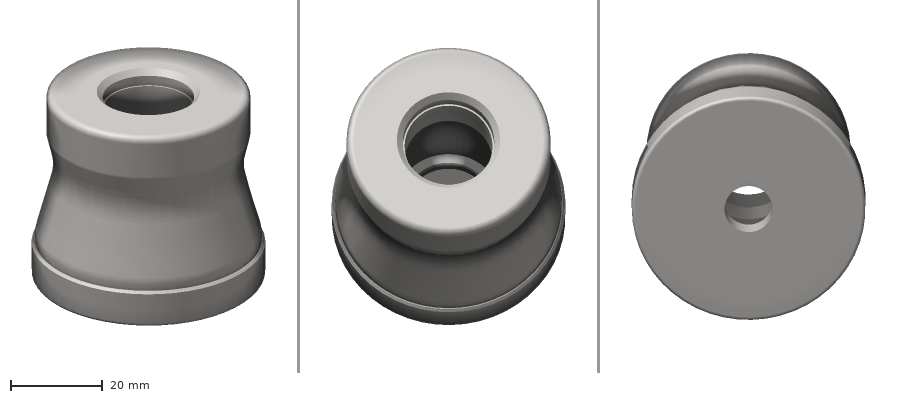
import cadquery as cq
import math

base_radius = 25.4
base_height = 8.45
base_bottom_fillet = 0.75
base_top_chamfer = 0.5
hole_radius = 5.25
recess_radius = 9.2
recess_depth = 2.55
edge_chamfer = 0.35

total_height = 44.45
foot_radius = 24.65
foot_top = 9.9
shoulder_top = 11.25
neck_radius = 20.75
neck_bottom = 23.1
neck_top = 30.7
flank_degrees = 16
head_radius = 22.2
head_bottom = 34.55
head_bottom_fillet = 1.8
head_top_fillet = 1.5

mouth_chamfer = 1.25
mouth_radius = 9.95
mouth_depth = 3.55
bore_radius = 9.55
bore_depth = 12.2
undercut_flare = 2.05


def make_chamfered_hole(radius, top, depth):
    """Cutter for a round hole going down from height top, with a chamfered mouth."""
    hole = cq.Workplane("XY").workplane(offset=top - depth).circle(radius).extrude(depth)
    mouth = cq.Solid.makeCone(
        radius, radius + edge_chamfer, edge_chamfer, pnt=cq.Vector(0, 0, top - edge_chamfer)
    )
    return hole.union(cq.Workplane(mouth))


def make_base():
    """Rounded disc with a recess in its top and a hole through the recess floor."""
    disc = cq.Workplane("XY").circle(base_radius).extrude(base_height)
    disc = disc.faces("<Z").edges().fillet(base_bottom_fillet)
    disc = disc.faces(">Z").edges().chamfer(base_top_chamfer)
    recess_floor = base_height - recess_depth
    disc = disc.cut(make_chamfered_hole(recess_radius, base_height, recess_depth))
    return disc.cut(make_chamfered_hole(hole_radius, recess_floor, recess_floor))


def make_outer_shape():
    """Waisted solid of revolution, drawn as a half profile in the XZ plane."""
    half_neck = (neck_top - neck_bottom) / 2
    neck_middle = (neck_top + neck_bottom) / 2
    flank_angle = math.radians(flank_degrees)
    neck_sagitta = half_neck * math.tan(flank_angle / 2)
    neck_end_radius = neck_radius + neck_sagitta
    shoulder_inset = (shoulder_top - foot_top) * math.tan(flank_angle / 2)
    profile = (
        cq.Workplane("XZ")
        .moveTo(0, base_height)
        .lineTo(foot_radius, base_height)
        .lineTo(foot_radius, foot_top)
        .tangentArcPoint((foot_radius - shoulder_inset, shoulder_top), relative=False)
        .lineTo(neck_end_radius, neck_bottom)
        .threePointArc((neck_radius, neck_middle), (neck_end_radius, neck_top))
        .lineTo(head_radius, head_bottom)
        .lineTo(head_radius, total_height)
        .lineTo(0, total_height)
        .close()
    )
    shape = profile.revolve(360, (0, 0, 0), (0, 1, 0))
    shape = shape.faces(">Z").edges().fillet(head_top_fillet)
    head_edge = cq.selectors.NearestToPointSelector((0, 0, head_bottom))
    return shape.edges("%CIRCLE").edges(head_edge).fillet(head_bottom_fillet)


def make_bore():
    """Chamfered mouth, flat ledge, straight bore and a flared undercut down to the base."""
    ledge_z = total_height - mouth_depth
    bore_end_z = total_height - bore_depth
    undercut_radius = bore_radius + undercut_flare
    return (
        cq.Workplane("XZ")
        .moveTo(0, base_height)
        .lineTo(undercut_radius, base_height)
        .lineTo(undercut_radius, bore_end_z - undercut_flare)
        .lineTo(bore_radius, bore_end_z)
        .lineTo(bore_radius, ledge_z)
        .lineTo(mouth_radius, ledge_z)
        .lineTo(mouth_radius, total_height - mouth_chamfer)
        .lineTo(mouth_radius + mouth_chamfer, total_height)
        .lineTo(0, total_height)
        .close()
        .revolve(360, (0, 0, 0), (0, 1, 0))
    )


base = make_base()
receiver = make_outer_shape().cut(make_bore())

result = cq.Compound.makeCompound([base.val(), receiver.val()])